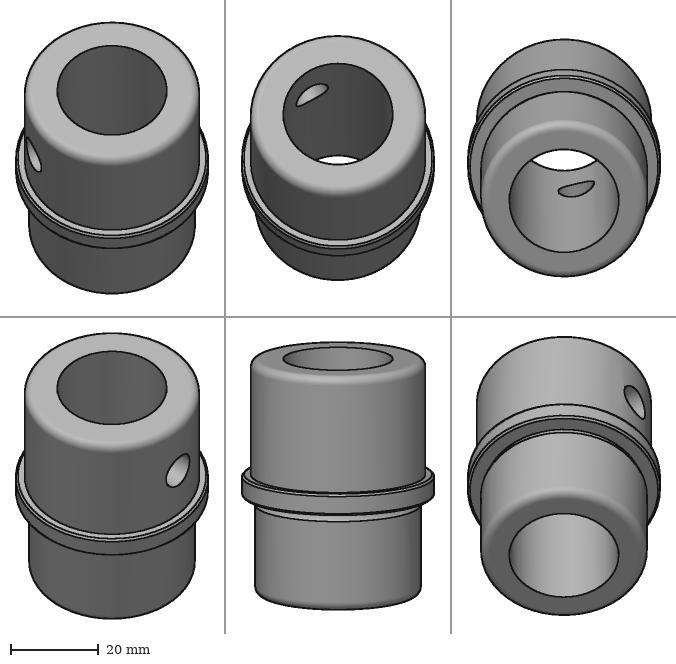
import cadquery as cq
import math

total_height = 55.0
bore_diameter = 25.0

upper_diameter = 40.0
upper_rim_radius = 2.0

flange_diameter = 44.0
flange_bottom = 23.0
flange_thickness = 5.0
flange_chamfer = 0.5
flange_top = flange_bottom + flange_thickness

lower_diameter = 38.0
lower_rim_radius = 2.0
groove_height = 2.0
groove_radius = 3.0
groove_depth = groove_radius - math.sqrt(groove_radius**2 - groove_height**2)
groove_bottom = flange_bottom - groove_height

hole_diameter = 8.4
hole_height = 41.0


def cylinder(diameter, bottom, top):
    """Solid cylinder on the Z axis between two heights."""
    return cq.Workplane("XY").workplane(offset=bottom).circle(diameter / 2).extrude(top - bottom)


def upper_barrel():
    """Barrel above the flange with a rounded top rim."""
    return cylinder(upper_diameter, flange_top, total_height).faces(">Z").edges().fillet(upper_rim_radius)


def flange():
    """Collar with both outer edges chamfered."""
    return cylinder(flange_diameter, flange_bottom, flange_top).edges().chamfer(flange_chamfer)


def lower_barrel():
    """Barrel below the flange with a rounded bottom rim."""
    barrel = cylinder(lower_diameter, 0, flange_bottom)
    return barrel.faces("<Z").edges().fillet(lower_rim_radius)


def relief_groove():
    """Ring under the flange: a concave arc, narrowest where it meets the flange."""
    outer = lower_diameter / 2
    arc_centre = outer - groove_depth + groove_radius
    mid_angle = math.asin(groove_height / groove_radius) / 2
    arc_middle = (
        arc_centre - groove_radius * math.cos(mid_angle),
        flange_bottom - groove_radius * math.sin(mid_angle),
    )
    return (
        cq.Workplane("XZ")
        .moveTo(outer, groove_bottom)
        .threePointArc(arc_middle, (outer - groove_depth, flange_bottom))
        .lineTo(outer, flange_bottom)
        .close()
        .revolve(360, (0, 0, 0), (0, 1, 0))
    )


def radial_hole():
    """Cutter from the axis out through the -Y side."""
    return cq.Workplane("XZ").center(0, hole_height).circle(hole_diameter / 2).extrude(flange_diameter / 2)


body = lower_barrel().cut(relief_groove()).union(flange()).union(upper_barrel())
result = body.cut(cylinder(bore_diameter, 0, total_height)).cut(radial_hole())